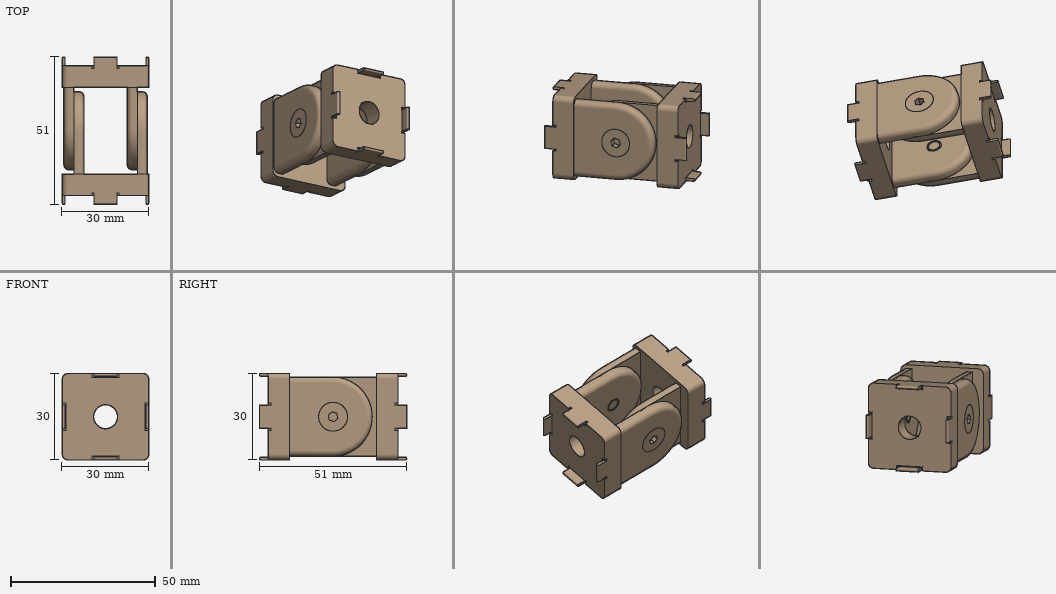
import cadquery as cq
import math

TOTAL_LENGTH = 51.0
SIDE = 30.0
BASE_THICKNESS = 7.5
CORNER_RADIUS = 2.0
BORE_DIAMETER = 8.2

TAB_WIDTH = 8.0
TAB_THICKNESS = 1.0
TAB_PROJECTION = 3.0
NOTCH_WIDTH = 9.4
NOTCH_HEIGHT = 1.4
NOTCH_DEPTH = 1.0

ARM_HEIGHT = 27.5
ARM_THICKNESS = 3.5
ARM_INSET = 0.5
ARM_REACH = 13.55
ARM_EDGE_RADIUS = 1.95

HEAD_DIAMETER = 10.0
SHANK_DIAMETER = 5.0
TIP_CHAMFER = 0.5
SOCKET_ACROSS_FLATS = 3.0
SOCKET_DEPTH = 3.0
SOCKET_TURN_DEGREES = -18.0

BASE_OUTER_Y = -TOTAL_LENGTH / 2 + TAB_PROJECTION
BASE_INNER_Y = BASE_OUTER_Y + BASE_THICKNESS
NOTCH_FLOOR_Y = BASE_OUTER_Y + NOTCH_DEPTH
ARM_OUTER_X = SIDE / 2 - ARM_INSET
HINGE_PLANE_X = ARM_OUTER_X - ARM_THICKNESS
ARM_INNER_X = HINGE_PLANE_X - ARM_THICKNESS
HEAD_DEPTH = (HEAD_DIAMETER - SHANK_DIAMETER) / 2


def block(x_start, x_end, y_start, y_end, z_start, z_end):
    """Box between the given limits."""
    size = (x_end - x_start, y_end - y_start, z_end - z_start)
    return cq.Workplane("XY").box(*size, centered=False).translate((x_start, y_start, z_start))


def half_turn(body):
    """Turn a body half a revolution about the Z axis."""
    return body.rotate((0, 0, 0), (0, 0, 1), 180)


def make_base():
    """Square plate with rounded corners and a central bore."""
    plate = block(-SIDE / 2, SIDE / 2, BASE_OUTER_Y, BASE_INNER_Y, -SIDE / 2, SIDE / 2)
    plate = plate.edges("|Y").fillet(CORNER_RADIUS)
    bore = (
        cq.Workplane("XZ", origin=(0, BASE_INNER_Y, 0))
        .circle(BORE_DIAMETER / 2)
        .extrude(BASE_THICKNESS)
    )
    return plate.cut(bore)


def make_notch():
    """Space around the tab on the top edge of the base."""
    half_width = NOTCH_WIDTH / 2
    top_z = SIDE / 2
    return block(-half_width, half_width, BASE_OUTER_Y, NOTCH_FLOOR_Y, top_z - NOTCH_HEIGHT, top_z)


def make_tab():
    """Flat tab with a fully rounded tip, rising from the notch floor of the top edge."""
    tip_radius = TAB_THICKNESS / 2
    tip_y = -TOTAL_LENGTH / 2
    outer_z = SIDE / 2
    inner_z = outer_z - TAB_THICKNESS
    return (
        cq.Workplane("YZ", origin=(-TAB_WIDTH / 2, 0, 0))
        .moveTo(NOTCH_FLOOR_Y, inner_z)
        .lineTo(tip_y + tip_radius, inner_z)
        .threePointArc((tip_y, outer_z - tip_radius), (tip_y + tip_radius, outer_z))
        .lineTo(NOTCH_FLOOR_Y, outer_z)
        .close()
        .extrude(TAB_WIDTH)
    )


def make_arm(x_start):
    """Round-ended arm whose outline is rounded over on its +X face."""
    end_radius = ARM_HEIGHT / 2
    end_center_y = ARM_REACH - end_radius
    arm = (
        cq.Workplane("YZ", origin=(x_start, 0, 0))
        .moveTo(BASE_INNER_Y, -end_radius)
        .lineTo(end_center_y, -end_radius)
        .threePointArc((ARM_REACH, 0), (end_center_y, end_radius))
        .lineTo(BASE_INNER_Y, end_radius)
        .close()
        .extrude(ARM_THICKNESS)
    )
    return arm.faces(">X").edges("not(<Y)").fillet(ARM_EDGE_RADIUS)


def make_screw_blank():
    """Countersunk screw without chamfer or socket, flush with both faces of the +X arm pair."""
    return (
        cq.Workplane("XY")
        .moveTo(ARM_OUTER_X, 0)
        .lineTo(ARM_OUTER_X, HEAD_DIAMETER / 2)
        .lineTo(ARM_OUTER_X - HEAD_DEPTH, SHANK_DIAMETER / 2)
        .lineTo(ARM_INNER_X, SHANK_DIAMETER / 2)
        .lineTo(ARM_INNER_X, 0)
        .close()
        .revolve(360, (0, 0, 0), (1, 0, 0))
    )


def make_screw():
    """Hinge screw on the +X side, with a chamfered tip and a hexagonal socket in its head."""
    across_corners = SOCKET_ACROSS_FLATS / math.cos(math.radians(30))
    socket = (
        cq.Workplane("YZ", origin=(ARM_OUTER_X - SOCKET_DEPTH, 0, 0))
        .polygon(6, across_corners)
        .extrude(SOCKET_DEPTH)
        .rotate((0, 0, 0), (1, 0, 0), SOCKET_TURN_DEGREES)
    )
    return make_screw_blank().faces("<X").chamfer(TIP_CHAMFER).cut(socket)


def make_yoke():
    """Yoke at the -Y end: base with notches and tabs, and two arms with screw holes."""
    yoke = make_base()
    for angle in (0, 90, 180, 270):
        turn = ((0, 0, 0), (0, 1, 0), angle)
        yoke = yoke.cut(make_notch().rotate(*turn)).union(make_tab().rotate(*turn))
    for x_start in (-HINGE_PLANE_X, HINGE_PLANE_X):
        yoke = yoke.union(make_arm(x_start))
    screw_hole = make_screw_blank()
    return yoke.cut(screw_hole).cut(half_turn(screw_hole))


front_yoke = make_yoke()
right_screw = make_screw()
yokes = [front_yoke, half_turn(front_yoke)]
screws = [right_screw, half_turn(right_screw)]

result = cq.Compound.makeCompound([body.val() for body in yokes + screws])